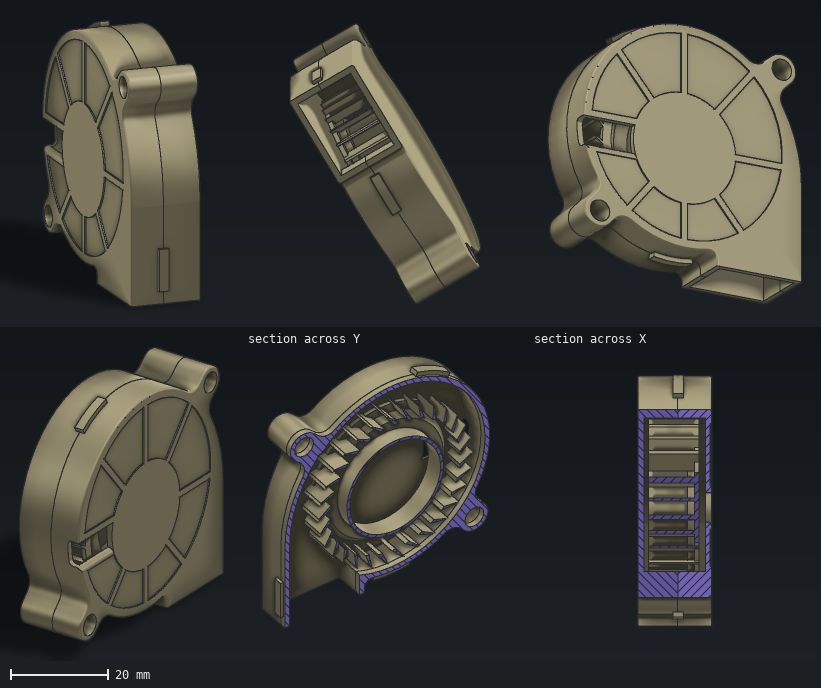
import cadquery as cq
import math


DEPTH = 15.3
PARTING_Y = 7.05
WALL = 1.3
RIM_FILLET = 0.45
VOLUTE_X = 0.65
VOLUTE_Z = 2.6
VOLUTE_R = 24.55
THROAT_R = 33.9
THROAT_Z = -3.4
THROAT_SWEEP = 40
OUTLET_LEFT = 7.75
OUTLET_RIGHT = 27.9
OUTLET_BOTTOM = -24.45
OUTLET_FILLET = 1.75

EAR_CENTRES = [(23.05, 21.25), (-20, -17.25)]
EAR_INWARD_ANGLES = [222.5, 45]
EAR_R = 3.5
EAR_HOLE_D = 4.6
EAR_FILLET = 3.15
EAR_ROOT_NEAREST = EAR_R + 0.5
EAR_LENGTH = 10.5

HUB_R = 12.1
RIM_WIDTH = 2.05
PANEL_R = VOLUTE_R - RIM_WIDTH
PANEL_DEPTH = 0.3
RIB_WIDTH = 1.45
RIB_ANGLES = [0, 50, 90, 130, 230, 270, 310]

WINDOW_HALF = 3.0
WINDOW_DEPTH = 2.8
WINDOW_CORNER_R = 1.0
WINDOW_LIP_R = 1.1

CLIP_LENGTH = 9.05
CLIP_FRONT_Y = 5.9
CLIP_BACK_Y = 8.0
CLIP_WIDTH = CLIP_BACK_Y - CLIP_FRONT_Y
CLIP_RISE = 1.05
CLIP_ANGLES = [115, 270]
FLAT_CLIP_RISE = 0.75
FLAT_CLIP_Z = -17.1

DISC_R = 17.95
DISC_THICKNESS = 1.0
DISC_FRONT_Y = 2.65
DISH_OUTER_R = 31.8 / 2
DISH_DEPTH = 1.35
CUP_OUTER_R = 24.5 / 2
CUP_INNER_R = 22.8 / 2
CUP_FLOOR_Y = 12.25
CUP_FLOOR_THICKNESS = 0.85
BLADE_COUNT = 30
BLADE_PROFILE = [(19.6, 0.25), (19.3, -0.35), (16.3, -2.65), (16.3, -1.6)]


def plane_at(y):
    """Workplane facing the front, with local axes X and Z."""
    return cq.Workplane("XZ", origin=(0, y, 0))


def cylinder(x, z, radius, y_start, y_end):
    return plane_at(y_start).center(x, z).circle(radius).extrude(y_start - y_end)


def volute_block(inset, y_start, y_end):
    """Volute and outlet channel, shrunk by the inset except at the outlet mouth."""
    right = OUTLET_RIGHT - inset
    throat_r = THROAT_R - inset
    throat_x = OUTLET_RIGHT - THROAT_R

    def throat_point(degrees):
        angle = math.radians(degrees)
        return throat_x + throat_r * math.cos(angle), THROAT_Z + throat_r * math.sin(angle)

    outlet = (
        plane_at(y_start)
        .moveTo(OUTLET_LEFT + inset, OUTLET_BOTTOM)
        .lineTo(right, OUTLET_BOTTOM)
        .lineTo(right, THROAT_Z)
        .threePointArc(throat_point(THROAT_SWEEP / 2), throat_point(THROAT_SWEEP))
        .lineTo(VOLUTE_X, VOLUTE_Z)
        .lineTo(OUTLET_LEFT + inset, VOLUTE_Z)
        .close()
        .extrude(y_start - y_end)
    )
    return outlet.union(cylinder(VOLUTE_X, VOLUTE_Z, VOLUTE_R - inset, y_start, y_end))


def ear(centre, inward_angle, y_start, y_end):
    """Lug that is round about its hole and runs inward to the volute."""
    x, z = centre
    arm = (
        plane_at(y_start)
        .center(x, z)
        .transformed(rotate=(0, 0, inward_angle))
        .center(EAR_LENGTH / 2, 0)
        .rect(EAR_LENGTH, 2 * EAR_R)
        .extrude(y_start - y_end)
    )
    return arm.union(cylinder(x, z, EAR_R, y_start, y_end))


def fillet_corners(body, centre, nearest, farthest, radius):
    """Fillet the edges along Y whose distance from the centre lies in the given range."""
    corners = []
    for edge in body.edges("|Y").vals():
        middle = edge.Center()
        if nearest < math.hypot(middle.x - centre[0], middle.z - centre[1]) < farthest:
            corners.append(edge)
    return body.newObject(corners).fillet(radius)


def housing_half(y_start, y_end, outer_face):
    """One hollow half; the outer face selector picks its closed side."""
    body = volute_block(0, y_start, y_end)
    for centre, inward_angle in zip(EAR_CENTRES, EAR_INWARD_ANGLES):
        body = body.union(ear(centre, inward_angle, y_start, y_end))
    for centre in EAR_CENTRES:
        body = fillet_corners(body, centre, EAR_ROOT_NEAREST, EAR_LENGTH, EAR_FILLET)
    outlet_corner = (OUTLET_LEFT, VOLUTE_Z - VOLUTE_R)
    body = fillet_corners(body, outlet_corner, 0, OUTLET_FILLET, OUTLET_FILLET)
    body = body.faces(outer_face).edges("not(<Z)").fillet(RIM_FILLET)
    for x, z in EAR_CENTRES:
        body = body.cut(cylinder(x, z, EAR_HOLE_D / 2, y_start, y_end))
    cavity = volute_block(WALL, max(y_start, WALL), min(y_end, DEPTH - WALL))
    return body.cut(cavity)


def panel_recesses():
    """Sunken panels between hub, rim and ribs on the front face."""
    panels = cylinder(VOLUTE_X, VOLUTE_Z, PANEL_R, 0, PANEL_DEPTH)
    panels = panels.cut(cylinder(0, 0, HUB_R, 0, PANEL_DEPTH))
    rib_length = 2 * VOLUTE_R
    for angle in RIB_ANGLES:
        rib = (
            plane_at(0)
            .transformed(rotate=(0, 0, angle))
            .center(rib_length / 2, 0)
            .rect(rib_length, RIB_WIDTH)
            .extrude(-PANEL_DEPTH)
        )
        panels = panels.cut(rib)
    window_frame = (
        plane_at(0)
        .center(-rib_length / 2, 0)
        .rect(rib_length, 2 * (WINDOW_HALF + RIB_WIDTH))
        .extrude(-PANEL_DEPTH)
    )
    return panels.cut(window_frame)


def window():
    """Opening from the left wall to the hub, with a rounded lower lip."""
    corner = WINDOW_CORNER_R
    lip = WINDOW_LIP_R
    opening = (
        cq.Workplane("YZ")
        .moveTo(0, WINDOW_HALF)
        .lineTo(WINDOW_DEPTH - corner, WINDOW_HALF)
        .radiusArc((WINDOW_DEPTH, WINDOW_HALF - corner), corner)
        .lineTo(WINDOW_DEPTH, corner - WINDOW_HALF)
        .radiusArc((WINDOW_DEPTH - corner, -WINDOW_HALF), corner)
        .lineTo(lip, -WINDOW_HALF)
        .radiusArc((0, -WINDOW_HALF - lip), -lip)
        .close()
        .extrude(-2 * VOLUTE_R)
    )
    return opening.cut(cylinder(0, 0, HUB_R, 0, WINDOW_DEPTH))


def clips():
    """Two curved clips on the volute and a flat one on the outlet wall."""
    ring = cylinder(VOLUTE_X, VOLUTE_Z, VOLUTE_R + CLIP_RISE, CLIP_FRONT_Y, CLIP_BACK_Y)
    ring = ring.cut(cylinder(VOLUTE_X, VOLUTE_Z, VOLUTE_R, CLIP_FRONT_Y, CLIP_BACK_Y))
    shapes = []
    for angle in CLIP_ANGLES:
        sector = (
            plane_at(CLIP_FRONT_Y)
            .center(VOLUTE_X, VOLUTE_Z)
            .transformed(rotate=(0, 0, angle))
            .center(VOLUTE_R, 0)
            .rect(VOLUTE_R, CLIP_LENGTH)
            .extrude(-CLIP_WIDTH)
        )
        shapes.append(ring.intersect(sector))
    flat_clip = (
        plane_at(CLIP_FRONT_Y)
        .center(OUTLET_RIGHT + FLAT_CLIP_RISE / 2, FLAT_CLIP_Z)
        .rect(FLAT_CLIP_RISE, CLIP_LENGTH)
        .extrude(-CLIP_WIDTH)
    )
    shapes.append(flat_clip)
    return shapes


def make_front_half():
    body = housing_half(0, PARTING_Y, "<Y")
    return body.cut(panel_recesses()).cut(window())


def make_back_half():
    body = housing_half(PARTING_Y, DEPTH, ">Y")
    for clip in clips():
        body = body.union(clip)
    return body


def make_impeller():
    """Dished disc on a cup, with leaning blades around the disc rim."""
    cup_end = CUP_FLOOR_Y + CUP_FLOOR_THICKNESS
    dish_y = DISC_FRONT_Y + DISH_DEPTH
    dish_r = DISH_OUTER_R - DISH_DEPTH
    body = (
        cq.Workplane("XY")
        .moveTo(0, CUP_FLOOR_Y)
        .lineTo(CUP_INNER_R, CUP_FLOOR_Y)
        .lineTo(CUP_INNER_R, dish_y)
        .lineTo(dish_r, dish_y)
        .lineTo(DISH_OUTER_R, DISC_FRONT_Y)
        .lineTo(DISC_R, DISC_FRONT_Y)
        .lineTo(DISC_R, DISC_FRONT_Y + DISC_THICKNESS)
        .lineTo(DISH_OUTER_R, DISC_FRONT_Y + DISC_THICKNESS)
        .lineTo(dish_r, dish_y + DISC_THICKNESS)
        .lineTo(CUP_OUTER_R, dish_y + DISC_THICKNESS)
        .lineTo(CUP_OUTER_R, cup_end)
        .lineTo(0, cup_end)
        .close()
        .revolve(360, (0, 0, 0), (0, 1, 0))
    )
    blade = (
        plane_at(DISC_FRONT_Y)
        .polyline([(-outward, clockwise) for outward, clockwise in BLADE_PROFILE])
        .close()
        .extrude(DISC_FRONT_Y - cup_end)
    )
    for i in range(BLADE_COUNT):
        body = body.union(blade.rotate((0, 0, 0), (0, 1, 0), i * 360 / BLADE_COUNT))
    return body


front_half = make_front_half()
back_half = make_back_half()
impeller = make_impeller()
result = cq.Compound.makeCompound([front_half.val(), back_half.val(), impeller.val()])